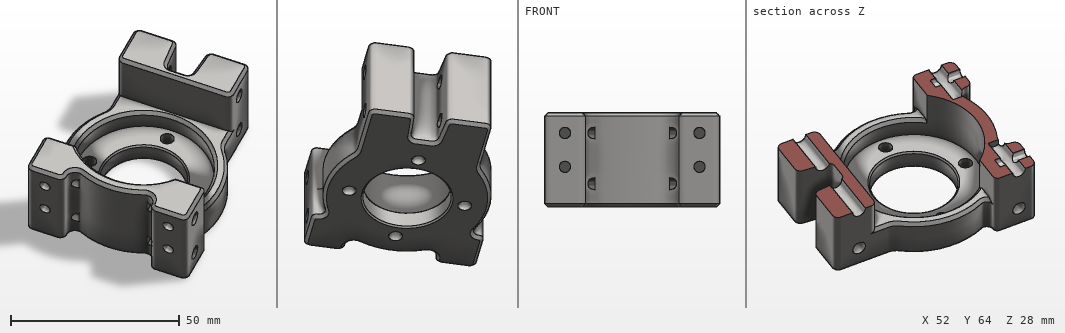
import cadquery as cq
import math

width = 52.0
length = 64.0
height = 28.0
rear_y = 36.6
front_y = rear_y - length
base_height = 12.0
edge_chamfer = 1.0

ring_radius = 24.95
pocket_radius = 21.0
pocket_floor_z = 6.0
bore_radius = 13.1
bore_chamfer = 0.5
bolt_circle_radius = 17.5
bolt_hole_radius = 2.05

tower_depth = 14.0
rear_tower_width = 37.0
front_tower_inner_x = 13.9
rear_tower_face_y = rear_y - tower_depth
front_tower_face_y = front_y + tower_depth

slot_mouth_width = 10.0
slot_depth = 11.0
slot_wall_angle = 5.0

corner_radius = 2.0
front_tower_back_radius = 1.55
rear_blend_radius = 5.0
back_blend_radius = 2.0
front_blend_radius = 2.75

cross_hole_radius = 2.1
cross_hole_z = (7.0, 22.0)
rear_cross_hole_y = rear_y - 8.0
front_cross_hole_y = front_y + 6.0
front_cross_hole_depth = 15.0
face_hole_radius = 1.65
face_hole_x = 20.0
face_hole_z = (12.0, 22.0)
face_hole_depth = 10.0


def block(x_range, y_range, z_range):
    """Box between the given limits."""
    limits = (x_range, y_range, z_range)
    size = [high - low for low, high in limits]
    return cq.Workplane("XY").box(*size, centered=False).translate(tuple(low for low, _ in limits))


def cylinder(radius, z_low, z_high):
    """Upright cylinder on the ring axis."""
    return cq.Workplane("XY").workplane(offset=z_low).circle(radius).extrude(z_high - z_low)


def round_mirrored_edges(body, x, y, z, radius):
    """Fillet the vertical edges at +x and -x."""
    for side in (-1, 1):
        edge = cq.selectors.NearestToPointSelector((side * x, y, z))
        body = body.edges("|Z").edges(edge).fillet(radius)
    return body


def ring_offset(distance):
    """Second coordinate of the ring's outer circle where the first is the given distance."""
    return math.sqrt(ring_radius**2 - distance**2)


def footprint(top_z):
    """Full outline of the part, with rounded vertical edges, up to top_z."""
    z_range = (0, top_z)
    side_x = width / 2
    rear_x = rear_tower_width / 2
    mouth_x = slot_mouth_width / 2
    slot_floor_y = rear_y - slot_depth
    slot_floor_x = mouth_x - slot_depth * math.tan(math.radians(slot_wall_angle))

    body = cylinder(ring_radius, 0, top_z)
    body = body.union(block((-rear_x, rear_x), (0, rear_y), z_range))
    for x_range in ((-side_x, -front_tower_inner_x), (front_tower_inner_x, side_x)):
        body = body.union(block(x_range, (front_y, front_tower_face_y), z_range))
    slot = (
        cq.Workplane("XY")
        .polyline([(-mouth_x, rear_y), (-slot_floor_x, slot_floor_y),
                   (slot_floor_x, slot_floor_y), (mouth_x, rear_y)])
        .close()
        .extrude(top_z)
    )
    body = body.cut(slot)

    rounded_edges = (
        (rear_x, rear_y, corner_radius),
        (mouth_x, rear_y, corner_radius),
        (slot_floor_x, slot_floor_y, corner_radius),
        (rear_x, ring_offset(rear_x), rear_blend_radius),
        (ring_offset(front_tower_face_y), front_tower_face_y, back_blend_radius),
        (side_x, front_tower_face_y, front_tower_back_radius),
        (side_x, front_y, corner_radius),
        (front_tower_inner_x, front_y, corner_radius),
        (front_tower_inner_x, -ring_offset(front_tower_inner_x), front_blend_radius),
    )
    for x, y, radius in rounded_edges:
        body = round_mirrored_edges(body, x, y, top_z / 2, radius)
    return body


def flare(radius, start_z, chamfer, direction):
    """Cone that widens a hole of the given radius; direction is 1 for upwards, -1 for downwards."""
    start = cq.Vector(0, 0, start_z)
    return cq.Workplane(cq.Solid.makeCone(radius, radius + chamfer, chamfer, start, cq.Vector(0, 0, direction)))


def slice_between(body, y_low, y_high):
    """Part of a body between two Y positions."""
    return body.intersect(block((-width, width), (y_low, y_high), (0, height)))


def make_base():
    """Low plate behind the front posts, with chamfered rims and a round pocket."""
    base = footprint(base_height).faces("<Z or >Z").edges().chamfer(edge_chamfer)
    base = base.cut(cylinder(pocket_radius, pocket_floor_z, base_height))
    base = base.cut(flare(pocket_radius, base_height - edge_chamfer, edge_chamfer, 1))
    return slice_between(base, front_tower_face_y, rear_y)


def make_tower(y_low, y_high):
    """Full-height part of the outline between two Y positions, chamfered at the bottom rim."""
    return slice_between(footprint(height).faces("<Z").edges().chamfer(edge_chamfer), y_low, y_high)


def make_rear_tower():
    """Slotted rear block with rounded front corners."""
    tower = make_tower(rear_tower_face_y, rear_y)
    tower = round_mirrored_edges(tower, rear_tower_width / 2, rear_tower_face_y, height / 2, corner_radius)
    return tower.faces(">Z").edges().chamfer(edge_chamfer)


def make_front_tower():
    """Both front posts and the ring wall that joins them."""
    tower = make_tower(front_y, front_tower_face_y)
    tower = tower.cut(cylinder(pocket_radius, pocket_floor_z, height))
    return tower.faces(">Z").edges().chamfer(edge_chamfer)


def hole(radius, start, direction, depth):
    """Cylinder to cut, from a start point along a direction."""
    return cq.Workplane(cq.Solid.makeCylinder(radius, depth, cq.Vector(*start), cq.Vector(*direction)))


def cut_bore(body):
    """Central through bore, chamfered at both ends."""
    body = body.cut(cylinder(bore_radius, 0, pocket_floor_z))
    body = body.cut(flare(bore_radius, pocket_floor_z - bore_chamfer, bore_chamfer, 1))
    return body.cut(flare(bore_radius, bore_chamfer, bore_chamfer, -1))


def cut_holes(body):
    """Bolt circle, cross holes and blind holes in the front faces."""
    body = body.cut(
        cq.Workplane("XY").polarArray(bolt_circle_radius, 0, 360, 4).circle(bolt_hole_radius).extrude(base_height)
    )
    for z in cross_hole_z:
        body = body.cut(hole(cross_hole_radius, (-width / 2, rear_cross_hole_y, z), (1, 0, 0), width))
    for side in (-1, 1):
        for z in cross_hole_z:
            start = (side * width / 2, front_cross_hole_y, z)
            body = body.cut(hole(cross_hole_radius, start, (-side, 0, 0), front_cross_hole_depth))
        for z in face_hole_z:
            start = (side * face_hole_x, front_y, z)
            body = body.cut(hole(face_hole_radius, start, (0, 1, 0), face_hole_depth))
    return body


bracket = make_base().union(make_rear_tower()).union(make_front_tower())
result = cut_holes(cut_bore(bracket))